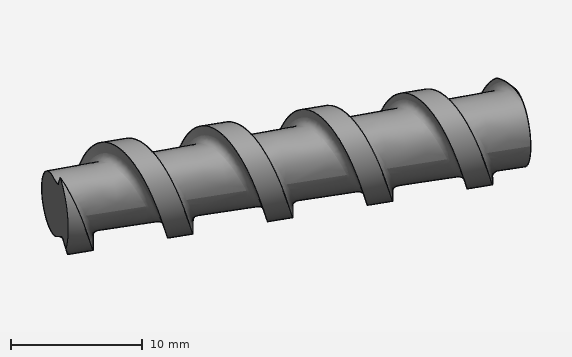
import cadquery as cq
import math

length = 37.28
outer_diameter = 8.0
outer_radius = outer_diameter / 2

front_core_radius = 2.55
back_core_radius = 3.05

pitch = 7.98
thread_width = 2.0
root_fillet = 0.55
thread_phase = 14.0
thread_inner_radius = 1.5

chamfer = outer_radius - back_core_radius

end_margin = pitch / 2


def make_core():
    """Cone along Z, from the front end at Z = 0, extended past both ends."""
    taper = (back_core_radius - front_core_radius) / length
    start_radius = front_core_radius - taper * end_margin
    end_radius = back_core_radius + taper * end_margin
    return (
        cq.Workplane("XZ")
        .polyline([
            (0, -end_margin),
            (start_radius, -end_margin),
            (end_radius, length + end_margin),
            (0, length + end_margin),
        ])
        .close()
        .revolve(360, (0, 0, 0), (0, 1, 0))
    )


def make_thread():
    """Square right-handed thread around Z, starting end_margin before the front."""
    helix = cq.Wire.makeHelix(pitch, length + 2 * end_margin, outer_radius)
    profile_depth = outer_radius - thread_inner_radius
    thread = (
        cq.Workplane("XZ")
        .center(thread_inner_radius + profile_depth / 2, 0)
        .rect(profile_depth, thread_width)
        .sweep(cq.Workplane(helix), isFrenet=True)
    )
    start_angle = -thread_phase - 360 * end_margin / pitch
    return thread.translate((0, 0, -end_margin)).rotate((0, 0, 0), (0, 0, 1), start_angle)


def make_end_trim():
    """Solid that keeps only the stretch between the two flat ends."""
    return cq.Workplane("XY").circle(outer_diameter).extrude(length)


def make_chamfer_ring():
    """Triangular ring whose inner cone cuts the 45 degree chamfer at the back end."""
    return (
        cq.Workplane("XZ")
        .polyline([
            (outer_radius + chamfer, length - 2 * chamfer),
            (outer_radius + chamfer, length + chamfer),
            (outer_radius - 2 * chamfer, length + chamfer),
        ])
        .close()
        .revolve(360, (0, 0, 0), (0, 1, 0))
    )


def is_root_edge(edge):
    """True for the helical edges where the thread flanks meet the core."""
    middle = edge.positionAt(0.5)
    crest_limit = (back_core_radius + outer_radius) / 2
    radius = math.hypot(middle.x, middle.y)
    return edge.geomType() == "BSPLINE" and edge.Length() > pitch and radius < crest_limit


screw = make_core().union(make_thread()).intersect(make_end_trim())
root_edges = [edge for edge in screw.edges().vals() if is_root_edge(edge)]
screw = screw.newObject(root_edges).fillet(root_fillet)
screw = screw.cut(make_chamfer_ring())

result = screw.rotate((0, 0, 0), (1, 0, 0), -90).translate((0, -length / 2, 0))